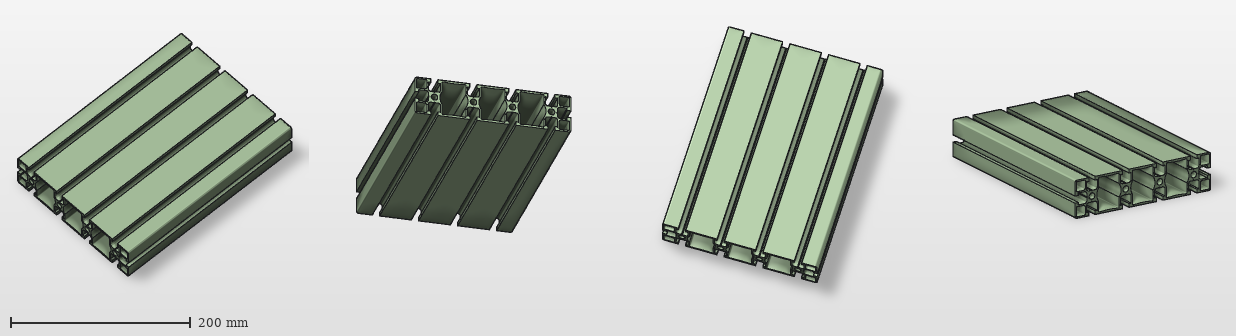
import cadquery as cq

MODULE = 45.0
MODULE_COUNT = 4
LENGTH = 250.0
WIDTH = MODULE * MODULE_COUNT
HEIGHT = MODULE
CORNER_RADIUS = 2.7

MOUTH_WIDTH = 8.4
LIP_THICKNESS = 4.5
SLOT_WIDTH = 14.1
SLOT_DEPTH = 15.6
SLOT_FLOOR_RADIUS = 3.0
GROOVE_WIDTH = 1.2
GROOVE_DEPTH = 0.7

WALL = 1.8
PANEL_MID_THICKNESS = 2.7
CAVITY_RADIUS = 1.2
CORNER_WEB_RADIUS = 2.5
WAIST_HALF_WIDTH = 6.4
WAIST_HALF_HEIGHT = 8.0
BORE_DIAMETER = 7.4

FRONT_END = -LENGTH / 2
SLOT_SIDE = SLOT_WIDTH / 2 + WALL

slot_centres = [(i - (MODULE_COUNT - 1) / 2) * MODULE for i in range(MODULE_COUNT)]
cavity_centres = [(a + b) / 2 for a, b in zip(slot_centres, slot_centres[1:])]


def section():
    """XZ sketch plane at the -Y end of the profile."""
    plane = cq.Plane(origin=(0, FRONT_END, 0), xDir=(1, 0, 0), normal=(0, -1, 0))
    return cq.Workplane(plane)


def draw_out(sketch):
    return sketch.extrude(-LENGTH)


def make_blank():
    return draw_out(section().rect(WIDTH, HEIGHT)).edges("|Y").fillet(CORNER_RADIUS)


def make_top_slot(x):
    """T-slot cutter opening upwards through the top face, centred at x."""
    top = HEIGHT / 2
    lip = top - LIP_THICKNESS
    floor = top - SLOT_DEPTH
    opening = draw_out(section().center(x, (top + lip) / 2).rect(MOUTH_WIDTH, LIP_THICKNESS))
    chamber = draw_out(section().center(x, (lip + floor) / 2).rect(SLOT_WIDTH, lip - floor))
    chamber = chamber.edges("|Y and <Z").fillet(SLOT_FLOOR_RADIUS)
    groove_outline = [
        (x - GROOVE_WIDTH / 2, floor),
        (x, floor - GROOVE_DEPTH),
        (x + GROOVE_WIDTH / 2, floor),
    ]
    groove = draw_out(section().polyline(groove_outline).close())
    return opening.union(chamber).union(groove)


def turned(cutter, angle):
    """Copy of a cutter turned about the profile's long axis."""
    return cutter.rotate((0, 0, 0), (0, 1, 0), angle)


def cut_slots(body):
    for x in slot_centres:
        slot = make_top_slot(x)
        body = body.cut(slot).cut(slot.mirror("XY"))
    end_slot_shift = (WIDTH - HEIGHT) / 2
    for side in (-1, 1):
        end_slot = turned(make_top_slot(0), 90 * side)
        body = body.cut(end_slot.translate((end_slot_shift * side, 0, 0)))
    return body


def make_main_cavity(x):
    """Large hollow between two slots, with bulging sides and arched top and bottom panels."""
    half_width = MODULE / 2 - SLOT_SIDE
    half_height = HEIGHT / 2 - WALL
    mid_half_height = HEIGHT / 2 - PANEL_MID_THICKNESS
    bulge = MODULE / 2 - WAIST_HALF_WIDTH
    sketch = (
        section()
        .moveTo(x - half_width, half_height)
        .threePointArc((x, mid_half_height), (x + half_width, half_height))
        .lineTo(x + half_width, WAIST_HALF_HEIGHT)
        .threePointArc((x + bulge, 0), (x + half_width, -WAIST_HALF_HEIGHT))
        .lineTo(x + half_width, -half_height)
        .threePointArc((x, -mid_half_height), (x - half_width, -half_height))
        .lineTo(x - half_width, -WAIST_HALF_HEIGHT)
        .threePointArc((x - bulge, 0), (x - half_width, WAIST_HALF_HEIGHT))
        .close()
    )
    return draw_out(sketch).edges("|Y").edges("<Z or >Z").fillet(CAVITY_RADIUS)


def make_corner_cavity(side_x, side_z):
    """Small square hollow in one corner of the profile."""
    size = HEIGHT / 2 - WALL - SLOT_SIDE
    inset = WALL + size / 2
    centre_x = WIDTH / 2 - inset
    centre_z = HEIGHT / 2 - inset
    cavity = draw_out(section().center(centre_x, centre_z).rect(size, size))
    cavity = cavity.edges("|Y and <X and <Z").fillet(CORNER_WEB_RADIUS)
    cavity = cavity.edges("|Y").edges(">X or >Z").fillet(CAVITY_RADIUS)
    if side_x < 0:
        cavity = cavity.mirror("YZ")
    if side_z < 0:
        cavity = cavity.mirror("XY")
    return cavity


def cut_cavities(body):
    for x in cavity_centres:
        body = body.cut(make_main_cavity(x))
    for side_x in (-1, 1):
        for side_z in (-1, 1):
            body = body.cut(make_corner_cavity(side_x, side_z))
    return body


def cut_bores(body):
    bore_points = [(x, 0) for x in slot_centres]
    return body.cut(draw_out(section().pushPoints(bore_points).circle(BORE_DIAMETER / 2)))


result = cut_bores(cut_cavities(cut_slots(make_blank())))